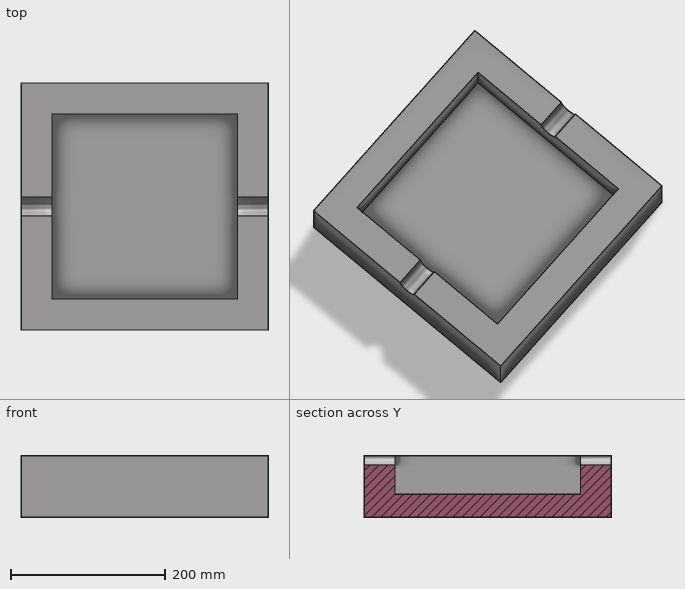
import cadquery as cq

side = 320.0
height = 80.0
wall = 40.0
pocket_depth = 50.0
groove_diameter = 24.0

pocket_side = side - 2 * wall

block = cq.Workplane("XY").box(side, side, height, centered=(True, True, False))

pocket = (
    cq.Workplane("XY")
    .workplane(offset=height - pocket_depth)
    .rect(pocket_side, pocket_side)
    .extrude(pocket_depth)
)

groove = (
    cq.Workplane("YZ")
    .center(0, height)
    .circle(groove_diameter / 2)
    .extrude(side / 2, both=True)
)

result = block.cut(pocket).cut(groove)